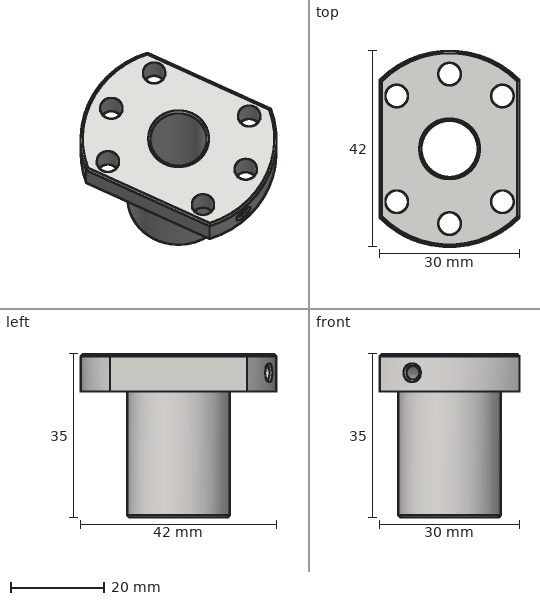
import cadquery as cq
import math

flange_diameter = 42.0
flange_width = 30.0
flange_thickness = 8.02

edge_chamfer = 0.5

total_height = 35.0
body_diameter = 22.0
bore_diameter = 12.0

bolt_hole_diameter = 4.8
bolt_circle_diameter = 32.0
bolt_group_directions = (90, 270)
bolt_spacing_angle = 45

oil_hole_diameter = 3.0
oil_hole_drop = 4.0
oil_hole_angle = 270 - bolt_spacing_angle / 2

flange_bottom = total_height - flange_thickness
flange_radius = flange_diameter / 2


def make_flange():
    disc = cq.Workplane("XY").circle(flange_radius).extrude(flange_thickness)
    flats = cq.Workplane("XY").rect(flange_width, flange_diameter).extrude(flange_thickness)
    flange = disc.intersect(flats).faces(">Z").chamfer(edge_chamfer)
    return flange.translate((0, 0, flange_bottom))


def make_body():
    body = cq.Workplane("XY").circle(body_diameter / 2).extrude(flange_bottom)
    return body.faces("<Z").chamfer(edge_chamfer)


def make_bore():
    bore = cq.Workplane("XY").circle(bore_diameter / 2).extrude(total_height)
    mouth = cq.Solid.makeCone(
        bore_diameter / 2,
        bore_diameter / 2 + edge_chamfer,
        edge_chamfer,
        pnt=cq.Vector(0, 0, total_height - edge_chamfer),
    )
    return bore.union(cq.Workplane(mouth))


def make_bolt_holes():
    pitch_radius = bolt_circle_diameter / 2
    centres = []
    for direction in bolt_group_directions:
        for step in (-1, 0, 1):
            angle = math.radians(direction + step * bolt_spacing_angle)
            centres.append((pitch_radius * math.cos(angle), pitch_radius * math.sin(angle)))
    holes = cq.Workplane("XY").workplane(offset=flange_bottom).pushPoints(centres)
    return holes.circle(bolt_hole_diameter / 2).extrude(flange_thickness)


def cut_oil_hole(flange):
    turned = flange.rotate((0, 0, 0), (0, 0, 1), -oil_hole_angle)
    hole = cq.Workplane("YZ").center(0, total_height - oil_hole_drop)
    hole = hole.circle(oil_hole_diameter / 2).extrude(flange_radius)
    drilled = turned.cut(hole)
    mouth_finder = cq.selectors.BoxSelector(
        (flange_radius - oil_hole_diameter, -oil_hole_diameter, flange_bottom + edge_chamfer),
        (flange_radius, oil_hole_diameter, total_height - 2 * edge_chamfer),
    )
    drilled = drilled.edges(mouth_finder).chamfer(edge_chamfer)
    return drilled.rotate((0, 0, 0), (0, 0, 1), oil_hole_angle)


drilled_flange = cut_oil_hole(make_flange())
result = drilled_flange.union(make_body()).cut(make_bore()).cut(make_bolt_holes())